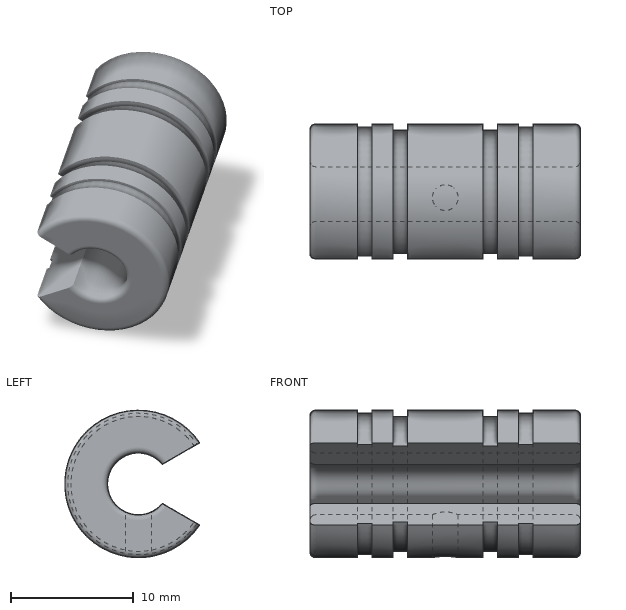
import cadquery as cq
import math

length = 22.0
outer_radius = 12.0 / 2
bore_radius = 2.5
edge_radius = 0.46

groove_width = 1.17
inner_groove_position = 3.65
inner_groove_depth = 0.5
outer_groove_position = 6.55
outer_groove_depth = 0.25

opening_angle = 60.0
opening_apex_y = 0.81

hole_diameter = 2.1


def make_sleeve():
    """Tube with rounded inner and outer edges at both ends."""
    tube = cq.Workplane("YZ").circle(outer_radius).circle(bore_radius).extrude(length / 2, both=True)
    return tube.faces("<X or >X").edges().fillet(edge_radius)


def make_groove(position, depth):
    """Ring of material to remove, centred at X = position."""
    return (
        cq.Workplane("YZ", origin=(position - groove_width / 2, 0, 0))
        .circle(outer_radius + depth)
        .circle(outer_radius - depth)
        .extrude(groove_width)
    )


def make_opening():
    """Full-length wedge that widens toward -Y from its apex line."""
    wedge_end_y = -2 * outer_radius
    half_height = (opening_apex_y - wedge_end_y) * math.tan(math.radians(opening_angle / 2))
    return (
        cq.Workplane("YZ")
        .polyline([(opening_apex_y, 0), (wedge_end_y, half_height), (wedge_end_y, -half_height)])
        .close()
        .extrude(length, both=True)
    )


def make_hole():
    """Cylinder running from the axis down past the outer surface."""
    return cq.Workplane("XY").circle(hole_diameter / 2).extrude(-2 * outer_radius)


result = make_sleeve()
for side in (-1, 1):
    result = result.cut(make_groove(side * inner_groove_position, inner_groove_depth))
    result = result.cut(make_groove(side * outer_groove_position, outer_groove_depth))
result = result.cut(make_opening()).cut(make_hole())